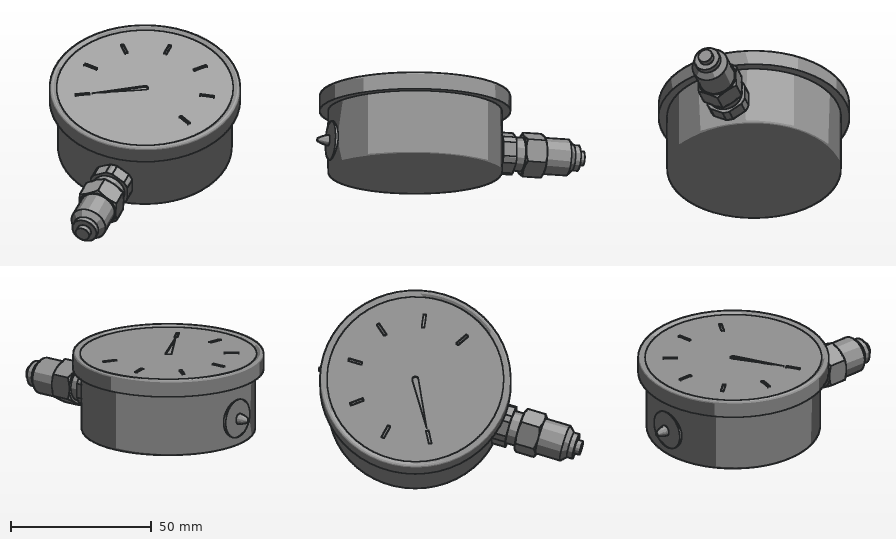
import cadquery as cq
import math

overall_height = 29.27
overall_length = 98.0
case_radius = 31.0
case_edge_radius = 1.0

bezel_radius = 34.0
bezel_bottom = 23.0
bezel_edge_radius = 1.0
lip_slope = 30.0
dial_radius = 31.45

edge_centre_r = bezel_radius - bezel_edge_radius
edge_centre_z = overall_height - bezel_edge_radius
lip_radius = edge_centre_r - bezel_edge_radius * math.sin(math.radians(lip_slope))
lip_z = edge_centre_z + bezel_edge_radius * math.cos(math.radians(lip_slope))
dial_z = lip_z - (lip_radius - dial_radius) * math.tan(math.radians(lip_slope))

engraving_depth = 0.6
mark_count = 7
mark_step = 40.0
first_mark_angle = 210.0
mark_inner_radius = 20.0
mark_outer_radius = 25.0
mark_width = 1.0
pointer_length = 19.0
pointer_hub_radius = 1.1

connector_z = 9.6
collar_start = 30.8
collar_end = 35.7
neck_end = 39.2
nut_end = 47.0
barrel_end = 56.0
cone_end = 58.0
shoulder_end = 60.0
tip_end = 62.0
hex_across_flats = 14.0
hex_half_angle = 30.0
hex_across_corners = hex_across_flats / math.cos(math.radians(hex_half_angle))
collar_corner_radius = 7.46
neck_radius = 6.0
barrel_radius = 6.5
shoulder_radius = 4.6
tip_radius = 2.55
nut_chamfer_length = 0.6

plug_z = 10.3
plug_seat = 29.0
plug_radius = 7.0
plug_rim_end = 31.2
plug_dome_end = 32.0
plug_end = overall_length - tip_end
nipple_base_radius = 1.95
nipple_middle_radius = 1.45
nipple_tip_radius = 0.55


def polar(radius, angle):
    a = math.radians(angle)
    return (radius * math.cos(a), radius * math.sin(a))


def along_minus_y(station):
    """Plane across the connector axis, facing -Y."""
    return cq.Workplane(cq.Plane(origin=(0, -station, connector_z), xDir=(1, 0, 0), normal=(0, -1, 0)))



def make_case_and_bezel():
    bezel_corner = polar(bezel_edge_radius, 45)
    case_corner = polar(case_edge_radius, -45)
    profile = (
        cq.Workplane("XZ")
        .lineTo(case_radius - case_edge_radius, 0)
        .threePointArc(
            (case_radius - case_edge_radius + case_corner[0], case_edge_radius + case_corner[1]),
            (case_radius, case_edge_radius),
        )
        .lineTo(case_radius, bezel_bottom)
        .lineTo(bezel_radius, bezel_bottom)
        .lineTo(bezel_radius, edge_centre_z)
        .threePointArc(
            (edge_centre_r + bezel_corner[0], edge_centre_z + bezel_corner[1]),
            (lip_radius, lip_z),
        )
        .lineTo(dial_radius, dial_z)
        .lineTo(0, dial_z)
        .close()
    )
    return profile.revolve(360, (0, 0, 0), (0, 1, 0))


def make_dial_mark(angle):
    length = mark_outer_radius - mark_inner_radius
    return (
        cq.Workplane("XY", origin=(mark_inner_radius + length / 2, 0, dial_z))
        .rect(length, mark_width)
        .extrude(-engraving_depth)
        .rotate((0, 0, 0), (0, 0, 1), angle)
    )


def make_pointer():
    """Pointed flat needle whose sides are tangent to its round hub."""
    tangent_angle = math.degrees(math.acos(pointer_hub_radius / pointer_length))
    upper_tangent = polar(pointer_hub_radius, tangent_angle)
    lower_tangent = polar(pointer_hub_radius, -tangent_angle)
    return (
        cq.Workplane("XY", origin=(0, 0, dial_z))
        .moveTo(pointer_length, 0)
        .lineTo(*upper_tangent)
        .threePointArc((-pointer_hub_radius, 0), lower_tangent)
        .close()
        .extrude(-engraving_depth)
        .rotate((0, 0, 0), (0, 0, 1), first_mark_angle)
    )



def hexagon(start, end):
    """Hexagonal prism with two flats facing +X and -X."""
    prism = along_minus_y(start).polygon(6, hex_across_corners).extrude(end - start)
    return prism.rotate((0, 0, connector_z), (0, 1, connector_z), hex_half_angle)


def make_connector():
    collar_round = along_minus_y(collar_start).circle(collar_corner_radius).extrude(collar_end - collar_start)
    collar = hexagon(collar_start, collar_end).intersect(collar_round)

    corner_radius = hex_across_corners / 2
    nut_blank = (
        along_minus_y(neck_end)
        .circle(corner_radius)
        .extrude(nut_end - neck_end)
        .faces("<Y or >Y")
        .chamfer(nut_chamfer_length, corner_radius - hex_across_flats / 2)
    )
    nut = hexagon(neck_end, nut_end).intersect(nut_blank)

    neck = along_minus_y(collar_end).circle(neck_radius).extrude(neck_end - collar_end)
    spigot = (
        cq.Workplane("XY", origin=(0, 0, connector_z))
        .moveTo(0, -nut_end)
        .lineTo(barrel_radius, -nut_end)
        .lineTo(barrel_radius, -barrel_end)
        .lineTo(shoulder_radius, -cone_end)
        .lineTo(shoulder_radius, -shoulder_end)
        .lineTo(tip_radius, -shoulder_end)
        .lineTo(tip_radius, -tip_end)
        .lineTo(0, -tip_end)
        .close()
        .revolve(360, (0, 0, 0), (0, 1, 0))
    )
    return collar.union(neck).union(nut).union(spigot)



def make_plug():
    dome_rise = plug_dome_end - plug_rim_end
    dome_radius = (plug_radius**2 + dome_rise**2) / (2 * dome_rise)
    dome_centre = plug_dome_end - dome_radius
    nipple_base = dome_centre + math.sqrt(dome_radius**2 - nipple_base_radius**2)
    dome_middle = (plug_radius + nipple_base_radius) / 2
    dome_middle_y = dome_centre + math.sqrt(dome_radius**2 - dome_middle**2)
    nipple_middle = (nipple_middle_radius, (nipple_base + plug_end) / 2)
    profile = (
        cq.Workplane("XY", origin=(0, 0, plug_z))
        .moveTo(0, plug_seat)
        .lineTo(plug_radius, plug_seat)
        .lineTo(plug_radius, plug_rim_end)
        .threePointArc((dome_middle, dome_middle_y), (nipple_base_radius, nipple_base))
        .threePointArc(nipple_middle, (nipple_tip_radius, plug_end))
        .lineTo(0, plug_end)
        .close()
    )
    return profile.revolve(360, (0, 0, 0), (0, 1, 0))


connector = make_connector()
plug = make_plug()

housing = make_case_and_bezel().cut(make_pointer())
for i in range(mark_count):
    housing = housing.cut(make_dial_mark(first_mark_angle - i * mark_step))
housing = housing.cut(connector).cut(plug)

result = cq.Compound.makeCompound([housing.val(), connector.val(), plug.val()])